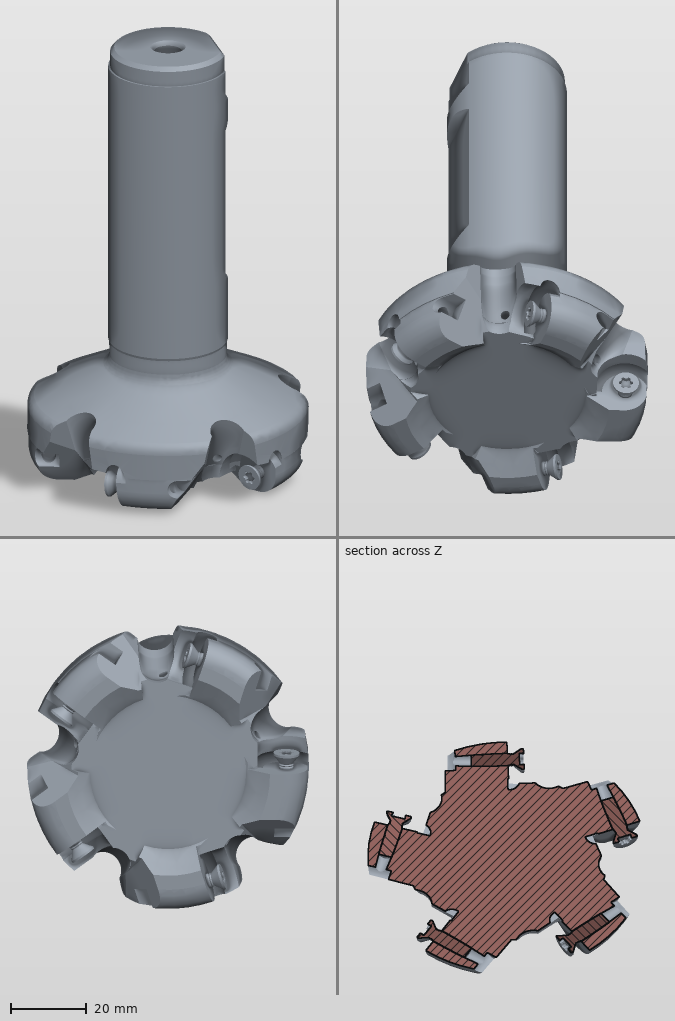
import cadquery as cq
import math


total_height = 118.9
shank_diameter = 31.7
shank_radius = shank_diameter / 2
end_collar_radius = 15.3
end_collar_z = 113.6
neck_radius = 15.6
neck_top_z = 35.5
shank_edge_chamfer = 0.7
neck_cone_z = 30.0
head_diameter = 74.5
head_radius = head_diameter / 2
shoulder_z = 19.1
neck_fillet = 2.9
shoulder_fillet = 3.2
skirt_step_z = 10.1
skirt_radius = 37.0
skirt_corner = 6.2
end_chamfer = 1.1

flat_offset = 13.5
upper_flat_bottom_z = 105.9
lower_flat_top_z = 96.8
lower_flat_bottom_z = 55.0
bore_radius = 3.6
bore_bottom_z = 16.6
bore_chamfer = 1.1

hollow_depth = 4.6
hollow_rim_radius = 27.0
hollow_floor_radius = 20.7

tooth_count = 5
tooth_pitch = 360 / tooth_count
first_flute_angle = 12.0
seat_lead_angle = 25.6

flute_radius = 4.8
flute_center = (29.4, 0.5)
flute_knee_z = 8.3
flute_length = 23.8
flute_lean_angle = 20.0
seat_wall_angle = 26.0
back_wall_angle = 38.0
wall_length = 19.0
flute_floor_start = 20.2
flute_floor_length = 10.7
flute_floor_width = 12.5
low_wall_corner = (30.2, -4.3, 11.0)
low_wall_angle = 48.0
low_wall_rise = 3.6
low_wall_lean = (0.8, 0.1)

seat_radius = 6.2
seat_distance = 31.3
seat_height = 6.1
seat_tilt = 5.4
seat_level = 1.4
insert_pocket_radius = 7.7
insert_pocket_top = 9.5
insert_opening_width = 20.2
relief_radius = 2.7
relief_ring_radius = 6.9

thread_radius = 1.9
thread_pitch = 0.6
thread_depth = 0.2
screw_face_level = 5.7
head_rim_height = 0.6
screw_head_radius = 3.5
head_cone_bottom = 3.1
screw_tip_level = -8.3
socket_depth = 1.2
socket_core_radius = 1.4
socket_lobe_radius = 0.5
socket_lobes = 6

slot_radius = 2.5
slot_height = 7.4
slot_floor = 28.4
slot_end_center = 14.6
slot_length = 9.5
hole_length = 19.0

coolant_radius = 1.2
coolant_start_z = 16.6
coolant_exit = (25.0, 1.7, 10.5)

reach = 47.5
selection_margin = 0.01
clearance = 1.2


def around_axis(points):
    """Solid of revolution about Z from (radius, z) points."""
    return cq.Workplane("XZ").polyline(points).close().revolve(360, (0, 0), (0, 1))


def edges_at(z):
    """Selector of the circular edges centred at height z."""
    low_corner = (-reach, -reach, z - selection_margin)
    high_corner = (reach, reach, z + selection_margin)
    return cq.selectors.BoxSelector(low_corner, high_corner)


def turned_blank():
    blank = around_axis([
        (0, 0),
        (skirt_radius, 0),
        (skirt_radius, skirt_step_z),
        (head_radius, skirt_step_z),
        (head_radius, shoulder_z),
        (neck_radius, neck_cone_z),
        (neck_radius, neck_top_z),
        (shank_radius, neck_top_z + shank_edge_chamfer),
        (shank_radius, end_collar_z),
        (end_collar_radius, end_collar_z),
        (end_collar_radius, total_height),
        (0, total_height),
    ])
    blank = blank.edges(edges_at(0)).fillet(skirt_corner)
    blank = blank.edges(edges_at(shoulder_z)).fillet(shoulder_fillet)
    return blank.edges(edges_at(neck_cone_z)).fillet(neck_fillet)


def shank_flat(bottom_z, top_z, open_top):
    """Cutter for a flat on the +Y side, with 45 degree ends."""
    depth = shank_radius - flat_offset + clearance
    top_run = 0 if open_top else depth
    profile = [
        (flat_offset, bottom_z),
        (flat_offset + depth, bottom_z - depth),
        (flat_offset + depth, top_z + top_run),
        (flat_offset, top_z),
    ]
    return cq.Workplane("YZ").polyline(profile).close().extrude(shank_radius, both=True)


def hollow():
    slope = (hollow_rim_radius - hollow_floor_radius) / hollow_depth
    return around_axis([
        (0, -clearance),
        (hollow_rim_radius + slope * clearance, -clearance),
        (hollow_floor_radius, hollow_depth),
        (0, hollow_depth),
    ])


def bore():
    return around_axis([
        (0, bore_bottom_z),
        (bore_radius, bore_bottom_z),
        (bore_radius, total_height - bore_chamfer),
        (bore_radius + bore_chamfer, total_height),
        (0, total_height),
    ])


def along(start, angle):
    """Point one wall length from start, at an angle to the flute's outward direction."""
    turn = math.radians(angle)
    return (start[0] + wall_length * math.cos(turn), start[1] + wall_length * math.sin(turn))


def flute_section(plane, x_shift):
    """Half-round section, centred on the plane's origin, with two walls flaring outward."""
    seat_edge = (x_shift, flute_radius)
    back_edge = (x_shift, -flute_radius)
    return (
        cq.Workplane(plane)
        .moveTo(*back_edge)
        .threePointArc((x_shift - flute_radius, 0), seat_edge)
        .lineTo(*along(seat_edge, seat_wall_angle))
        .lineTo(*along(back_edge, -back_wall_angle))
        .close()
    )


def flute():
    lean = math.radians(flute_lean_angle)
    knee = (*flute_center, flute_knee_z)
    leaning = cq.Plane(
        origin=knee,
        xDir=(math.cos(lean), 0, -math.sin(lean)),
        normal=(math.sin(lean), 0, math.cos(lean)),
    )
    upright = cq.Plane(origin=knee)
    widening = flute_radius / math.cos(lean) - flute_radius
    overlap = flute_radius * math.sin(lean)
    upper = flute_section(leaning, 0).extrude(flute_length)
    lower = flute_section(upright, -widening).extrude(-flute_knee_z - clearance)
    bridge = flute_section(leaning, 0).extrude(-overlap)
    return upper.union(bridge).union(lower)


def flute_floor():
    """Lets the hollow under the head run out level into the flute."""
    return (
        cq.Workplane("XY")
        .moveTo(flute_floor_start, flute_center[1] - flute_radius)
        .rect(flute_floor_length, flute_floor_width, centered=False)
        .extrude(hollow_depth)
    )


def low_back_wall():
    """Leaning prism that undercuts the flute's back wall towards the bottom."""
    corner = low_wall_corner[:2]
    section = (
        cq.Workplane("XY", origin=(0, 0, low_wall_corner[2]))
        .polyline([
            corner,
            along(corner, -low_wall_angle),
            along(corner, 0),
            (corner[0] + wall_length, flute_center[1] + flute_radius / 2),
            (corner[0] + clearance, flute_center[1] + flute_radius / 2),
        ])
        .close()
        .wire()
        .val()
    )

    def leaning_prism(height):
        run_x, run_y = low_wall_lean
        return cq.Workplane(cq.Solid.extrudeLinear(section, [], cq.Vector(run_x, run_y, 1) * height))

    return leaning_prism(-low_wall_corner[2] - clearance).union(leaning_prism(low_wall_rise))


def coolant_hole():
    start = cq.Vector(0, 0, coolant_start_z)
    path = cq.Vector(*coolant_exit) - start
    return cq.Workplane(cq.Solid.makeCylinder(coolant_radius, path.Length + clearance, start, path))


def disc(radius, low, high):
    """Cylinder about the screw axis between two levels; levels rise towards -Y."""
    return cq.Workplane("XZ", origin=(0, -low, 0)).circle(radius).extrude(high - low)


def place_on_seat(shape):
    return shape.rotate((0, 0, 0), (1, 0, 0), seat_tilt).translate((seat_distance, 0, seat_height))


def insert_pocket():
    """Round room for the insert, the relief groove over its seat and the screw hole."""
    room = disc(insert_pocket_radius, seat_level, insert_pocket_top)
    groove = (
        cq.Workplane("XY")
        .moveTo(seat_radius, -seat_level - relief_radius)
        .lineTo(relief_ring_radius, -seat_level - relief_radius)
        .threePointArc((relief_ring_radius + relief_radius, -seat_level),
                       (relief_ring_radius, -seat_level + relief_radius))
        .lineTo(seat_radius, -seat_level + relief_radius)
        .close()
        .revolve(180, (0, 1.2), (0, 0))
    )
    hole = disc(thread_radius, -hole_length, seat_level)
    opening = (
        cq.Workplane("XZ", origin=(0, -seat_level, -seat_height))
        .rect(insert_opening_width, 2 * hollow_depth)
        .extrude(insert_pocket_top - seat_level)
    )
    return place_on_seat(room.union(opening).union(groove).union(hole))


def tooth_slot():
    plane = cq.Workplane("YZ", origin=(slot_floor, 0, 0))
    end = plane.center(slot_end_center, slot_height).circle(slot_radius).extrude(reach - slot_floor)
    run = (
        cq.Workplane("YZ", origin=(slot_floor, 0, 0))
        .center(slot_end_center + slot_length / 2, slot_height)
        .rect(slot_length, 2 * slot_radius)
        .extrude(reach - slot_floor)
    )
    return end.union(run)


def screw():
    """Countersunk screw with a six-lobe socket and thread grooves on its bare stretch."""
    points = [
        (0, -screw_face_level),
        (screw_head_radius, -screw_face_level),
        (screw_head_radius, -screw_face_level + head_rim_height),
        (thread_radius, -head_cone_bottom),
    ]
    groove_count = math.floor((head_cone_bottom - seat_level) / thread_pitch)
    for i in range(groove_count):
        level = head_cone_bottom - i * thread_pitch
        points.append((thread_radius - thread_depth, -level + thread_pitch / 2))
        points.append((thread_radius, -level + thread_pitch))
    points += [(thread_radius, -screw_tip_level), (0, -screw_tip_level)]
    blank = cq.Workplane("XY").polyline(points).close().revolve(360, (0, 0), (0, 1))

    socket_floor = screw_face_level - socket_depth
    socket = disc(socket_core_radius, socket_floor, screw_face_level)
    lobes = (
        cq.Workplane("XZ", origin=(0, -socket_floor, 0))
        .polarArray(socket_core_radius, 0, 360, socket_lobes)
        .circle(socket_lobe_radius)
        .extrude(socket_depth)
    )
    return place_on_seat(blank.cut(socket).cut(lobes))


def turn(shape, angle):
    return shape.rotate((0, 0, 0), (0, 0, 1), angle)


def holder():
    body = turned_blank()
    body = body.cut(shank_flat(upper_flat_bottom_z, total_height, True))
    body = body.cut(shank_flat(lower_flat_bottom_z, lower_flat_top_z, False))
    body = body.faces(">Z").edges().chamfer(end_chamfer)
    body = body.cut(bore()).cut(hollow())
    for i in range(tooth_count):
        flute_angle = first_flute_angle + i * tooth_pitch
        seat_angle = flute_angle + seat_lead_angle
        for cutter in (flute(), flute_floor(), low_back_wall(), coolant_hole()):
            body = body.cut(turn(cutter, flute_angle))
        for cutter in (insert_pocket(), tooth_slot()):
            body = body.cut(turn(cutter, seat_angle))
    return body


cutter_holder = holder()
screws = [
    turn(screw(), first_flute_angle + seat_lead_angle + i * tooth_pitch).val()
    for i in range(tooth_count)
]
result = cq.Compound.makeCompound([cutter_holder.val(), *screws])